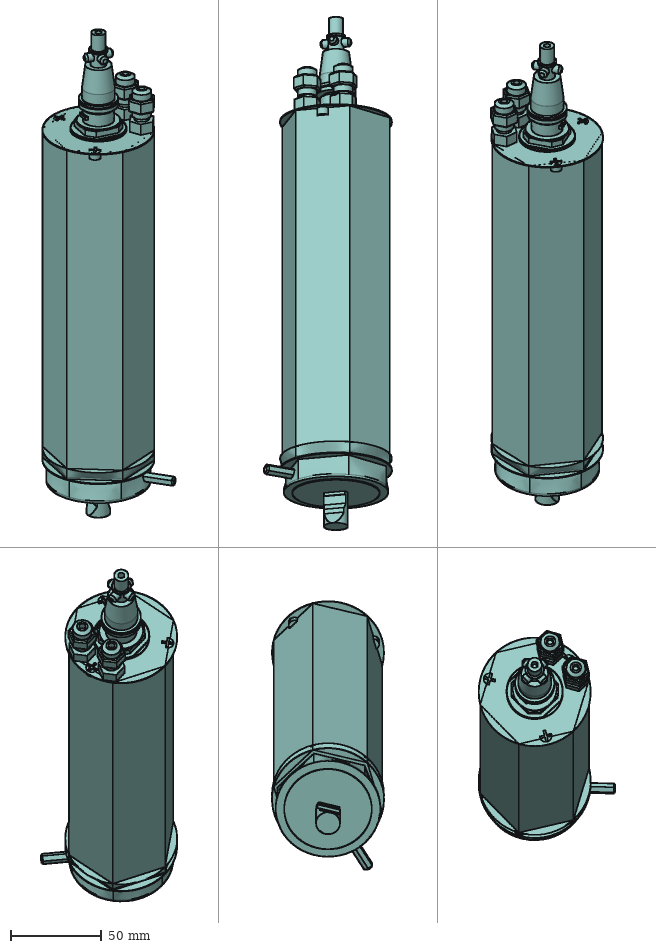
import cadquery as cq

CAP_BOTTOM = 19.8
CAP_STRAIGHT_TOP = 21.3
LIP_BOTTOM = 32.5
LIP_TOP = 33.0
COLLAR_BOTTOM = 34.3
COLLAR_TOP = 39.5
PLATE_BOTTOM = 235.5
PLATE_TOP = 236.0
TOTAL_HEIGHT = 295.7

HOUSING_RADIUS = 31.0
CAP_RADIUS = 29.0
END_RING_RADIUS = 24.2
END_RING_BOTTOM = 19.2

SPINDLE_DIAMETER = 13.3
SPINDLE_COLLAR_HALF = 3.0
SPINDLE_COLLAR_BOTTOM = 17.5
SPINDLE_NECK_HALF = 2.0
SPINDLE_NECK_BOTTOM = 12.5
SPINDLE_SHOULDER_HALF = 3.5
SPINDLE_SHOULDER_TOP = 9.5
SPINDLE_SHOULDER_BOTTOM = 6.8

STUB_ANGLE = 45
STUB_ROLL = 90
STUB_REACH = 44.7
STUB_DIAMETER = 6.0
STUB_LEVEL = 26.3
STUB_CHAMFER = 1.0

SCREW_COUNT = 3
SCREW_FIRST_ANGLE = 90
SCREW_CIRCLE_RADIUS = 26.0
SCREW_DIAMETER = 6.5
SCREW_BOTTOM = 231.2
SCREW_SLOT_WIDTH = 1.2
SCREW_SLOT_DEPTH = 0.5

FITTING_X = 10.3
FITTING_Y = 21.5
FITTING_TURN = 30
FITTING_BASE_HEX = 14.8
FITTING_BASE_TOP = 242.5
FITTING_NECK_DIAMETER = 8.3
FITTING_NECK_TOP = 244.5
FITTING_FLANGE_DIAMETER = 10.5
FITTING_FLANGE_TOP = 248.0
FITTING_NUT_HEX = 15.7
FITTING_NUT_TOP = 255.8
FITTING_CAP_DIAMETER = 10.5
FITTING_CAP_CHAMFER_HEIGHT = 1.5
FITTING_CAP_CHAMFER_WIDTH = 2.5
FITTING_TOP = 261.0
FITTING_BORE_DIAMETER = 3.5
FITTING_BORE_DEPTH = 4.5
NUT_CHAMFER = 1.0

SEAT_RING_DIAMETER = 31.3
SEAT_RING_TOP = 236.5
SEAT_STEP_DIAMETER = 30.8
SEAT_STEP_WIDTH = 27.8
SEAT_STEP_TOP = 237.5
SEAT_BLOCK_SIZE = 23.0
SEAT_BLOCK_CHAMFER = 4.7
SEAT_BLOCK_TOP = 241.0
SEAT_FLANGE_DIAMETER = 24.2
SEAT_FLANGE_TOP = 242.0

CONNECTOR_BODY_DIAMETER = 17.5
CONNECTOR_BODY_TOP = 249.3
CONNECTOR_GROOVE_DIAMETER = 13.3
CONNECTOR_GROOVE_TOP = 251.0
CONNECTOR_DISC_DIAMETER = 22.0
CONNECTOR_LOWER_DISC_TOP = 253.5
CONNECTOR_DISC_GAP_DIAMETER = 21.0
CONNECTOR_DISC_GAP_TOP = 254.0
CONNECTOR_DISC_TOP = 255.5
SLEEVE_DIAMETER = 18.3
SLEEVE_STRAIGHT_TOP = 262.0
SLEEVE_TOP_DIAMETER = 14.8
SLEEVE_TOP = 276.0
CABLE_NECK_DIAMETER = 9.0
CLAMP_COLLAR_DIAMETER = 10.3
CLAMP_COLLAR_BOTTOM = 284.5
CLAMP_COLLAR_TOP = 285.5
CABLE_DIAMETER = 8.0
CABLE_BORE_DIAMETER = 3.5
CABLE_BORE_DEPTH = 6.0

KEY_WIDTH = 7.0
KEY_REACH = 9.8
KEY_BOTTOM = 245.0
KEY_TOP = 247.0

KNOB_COUNT = 4
KNOB_REACH = 8.5
KNOB_DIAMETER = 5.0
KNOB_LEVEL = 281.5
KNOB_CHAMFER = 1.2


def cylinder(diameter, bottom, top):
    return cq.Workplane("XY").workplane(offset=bottom).circle(diameter / 2).extrude(top - bottom)


def hexagon(diameter, bottom, top, turn=0):
    """Hexagonal prism, given across its corners; without a turn two corners lie on X."""
    base = cq.Workplane("XY").workplane(offset=bottom)
    return base.polygon(6, diameter).extrude(top - bottom).rotate((0, 0, 0), (0, 0, 1), turn)


def hexagon_to_circle(diameter, hexagon_level, circle_level):
    """Transition from a hexagon to the circle through its corners."""
    start = cq.Workplane("XY").workplane(offset=hexagon_level).polygon(6, diameter)
    return start.workplane(offset=circle_level - hexagon_level).circle(diameter / 2).loft()


def make_housing():
    housing_diameter = 2 * HOUSING_RADIUS
    cap_diameter = 2 * CAP_RADIUS
    housing = hexagon(housing_diameter, LIP_BOTTOM, PLATE_BOTTOM)
    parts = [
        cylinder(housing_diameter, PLATE_BOTTOM, PLATE_TOP),
        hexagon_to_circle(housing_diameter, COLLAR_BOTTOM, COLLAR_TOP),
        cylinder(housing_diameter, LIP_BOTTOM, LIP_TOP),
        hexagon_to_circle(cap_diameter, LIP_BOTTOM, CAP_STRAIGHT_TOP),
        cylinder(cap_diameter, CAP_BOTTOM, CAP_STRAIGHT_TOP),
        cylinder(2 * END_RING_RADIUS, END_RING_BOTTOM, CAP_BOTTOM),
    ]
    for part in parts:
        housing = housing.union(part)
    return housing


def make_spindle():
    foot_half = SPINDLE_DIAMETER / 2
    half_profile = [
        (foot_half, 0),
        (SPINDLE_SHOULDER_HALF, SPINDLE_SHOULDER_BOTTOM),
        (SPINDLE_SHOULDER_HALF, SPINDLE_SHOULDER_TOP),
        (SPINDLE_NECK_HALF, SPINDLE_NECK_BOTTOM),
        (SPINDLE_NECK_HALF, SPINDLE_COLLAR_BOTTOM),
        (SPINDLE_COLLAR_HALF, SPINDLE_COLLAR_BOTTOM),
        (SPINDLE_COLLAR_HALF, CAP_STRAIGHT_TOP),
    ]
    mirrored = [(-y, z) for y, z in reversed(half_profile)]
    blade = cq.Workplane("YZ").polyline(half_profile + mirrored).close().extrude(foot_half, both=True)
    return blade.intersect(cylinder(SPINDLE_DIAMETER, 0, CAP_STRAIGHT_TOP))


def make_stub():
    stub = cq.Workplane("YZ").polygon(6, STUB_DIAMETER).extrude(STUB_REACH)
    stub = stub.rotate((0, 0, 0), (1, 0, 0), STUB_ROLL)
    stub = stub.faces(">X").chamfer(STUB_CHAMFER)
    return stub.rotate((0, 0, 0), (0, 0, 1), STUB_ANGLE).translate((0, 0, STUB_LEVEL))


def make_screw():
    screw = cylinder(SCREW_DIAMETER, SCREW_BOTTOM, PLATE_TOP)
    slots = cq.Workplane("XY").workplane(offset=PLATE_TOP - SCREW_SLOT_DEPTH)
    for angle in (0, 90):
        slot = slots.rect(SCREW_DIAMETER, SCREW_SLOT_WIDTH).extrude(SCREW_SLOT_DEPTH)
        screw = screw.cut(slot.rotate((0, 0, 0), (0, 0, 1), angle))
    return screw


def add_screws(body):
    screw = make_screw().translate((SCREW_CIRCLE_RADIUS, 0, 0))
    hole = cylinder(SCREW_DIAMETER, SCREW_BOTTOM, PLATE_TOP).translate((SCREW_CIRCLE_RADIUS, 0, 0))
    for index in range(SCREW_COUNT):
        angle = SCREW_FIRST_ANGLE + index * 360 / SCREW_COUNT
        body = body.cut(hole.rotate((0, 0, 0), (0, 0, 1), angle))
        body = body.union(screw.rotate((0, 0, 0), (0, 0, 1), angle))
    return body


def make_fitting():
    """Hose fitting on the Z axis; the corners of its hexagons lie on Y."""
    fitting = hexagon(FITTING_BASE_HEX, PLATE_TOP, FITTING_BASE_TOP, FITTING_TURN)
    fitting = fitting.union(cylinder(FITTING_NECK_DIAMETER, FITTING_BASE_TOP, FITTING_NECK_TOP))
    fitting = fitting.union(cylinder(FITTING_FLANGE_DIAMETER, FITTING_NECK_TOP, FITTING_FLANGE_TOP))
    nut = hexagon(FITTING_NUT_HEX, FITTING_FLANGE_TOP, FITTING_NUT_TOP, FITTING_TURN)
    fitting = fitting.union(nut.faces("<Z or >Z").chamfer(NUT_CHAMFER))
    cap = cylinder(FITTING_CAP_DIAMETER, FITTING_NUT_TOP, FITTING_TOP)
    cap = cap.faces(">Z").chamfer(FITTING_CAP_CHAMFER_HEIGHT, FITTING_CAP_CHAMFER_WIDTH)
    fitting = fitting.union(cap)
    return fitting.cut(cylinder(FITTING_BORE_DIAMETER, FITTING_TOP - FITTING_BORE_DEPTH, FITTING_TOP))


def make_seat():
    """Round ring, a step with two flats facing X, a chamfered square block and a thin flange."""
    block = cq.Workplane("XY").workplane(offset=PLATE_TOP).rect(SEAT_BLOCK_SIZE, SEAT_BLOCK_SIZE)
    block = block.extrude(SEAT_BLOCK_TOP - PLATE_TOP).edges("|Z").chamfer(SEAT_BLOCK_CHAMFER)
    step = cylinder(SEAT_STEP_DIAMETER, SEAT_RING_TOP, SEAT_STEP_TOP)
    flats = cq.Workplane("XY").box(SEAT_STEP_WIDTH, SEAT_STEP_DIAMETER, 2 * SEAT_STEP_TOP)
    seat = cylinder(SEAT_RING_DIAMETER, PLATE_TOP, SEAT_RING_TOP)
    seat = seat.union(step.intersect(flats)).union(block)
    return seat.union(cylinder(SEAT_FLANGE_DIAMETER, SEAT_BLOCK_TOP, SEAT_FLANGE_TOP))


def make_knob():
    knob = cq.Workplane("YZ").circle(KNOB_DIAMETER / 2).extrude(KNOB_REACH)
    return knob.faces(">X").chamfer(KNOB_CHAMFER).translate((0, 0, KNOB_LEVEL))


def make_connector():
    half_profile = [
        (0, SEAT_FLANGE_TOP),
        (CONNECTOR_BODY_DIAMETER / 2, SEAT_FLANGE_TOP),
        (CONNECTOR_BODY_DIAMETER / 2, CONNECTOR_BODY_TOP),
        (CONNECTOR_GROOVE_DIAMETER / 2, CONNECTOR_BODY_TOP),
        (CONNECTOR_GROOVE_DIAMETER / 2, CONNECTOR_GROOVE_TOP),
        (CONNECTOR_DISC_DIAMETER / 2, CONNECTOR_GROOVE_TOP),
        (CONNECTOR_DISC_DIAMETER / 2, CONNECTOR_LOWER_DISC_TOP),
        (CONNECTOR_DISC_GAP_DIAMETER / 2, CONNECTOR_LOWER_DISC_TOP),
        (CONNECTOR_DISC_GAP_DIAMETER / 2, CONNECTOR_DISC_GAP_TOP),
        (CONNECTOR_DISC_DIAMETER / 2, CONNECTOR_DISC_GAP_TOP),
        (CONNECTOR_DISC_DIAMETER / 2, CONNECTOR_DISC_TOP),
        (SLEEVE_DIAMETER / 2, CONNECTOR_DISC_TOP),
        (SLEEVE_DIAMETER / 2, SLEEVE_STRAIGHT_TOP),
        (SLEEVE_TOP_DIAMETER / 2, SLEEVE_TOP),
        (CABLE_NECK_DIAMETER / 2, SLEEVE_TOP),
        (CABLE_NECK_DIAMETER / 2, CLAMP_COLLAR_BOTTOM),
        (CLAMP_COLLAR_DIAMETER / 2, CLAMP_COLLAR_BOTTOM),
        (CLAMP_COLLAR_DIAMETER / 2, CLAMP_COLLAR_TOP),
        (CABLE_DIAMETER / 2, CLAMP_COLLAR_TOP),
        (CABLE_DIAMETER / 2, TOTAL_HEIGHT),
        (0, TOTAL_HEIGHT),
    ]
    connector = cq.Workplane("XZ").polyline(half_profile).close().revolve(360, (0, 0), (0, 1))
    key = cq.Workplane("XY").box(KEY_WIDTH, KEY_REACH, KEY_TOP - KEY_BOTTOM, centered=(True, False, False))
    connector = connector.union(key.translate((0, -KEY_REACH, KEY_BOTTOM)))
    knob = make_knob()
    for index in range(KNOB_COUNT):
        connector = connector.union(knob.rotate((0, 0, 0), (0, 0, 1), index * 360 / KNOB_COUNT))
    return connector.cut(cylinder(CABLE_BORE_DIAMETER, TOTAL_HEIGHT - CABLE_BORE_DEPTH, TOTAL_HEIGHT))


result = add_screws(make_housing())
result = result.union(make_spindle())
result = result.union(make_stub())
for side in (-1, 1):
    result = result.union(make_fitting().translate((side * FITTING_X, FITTING_Y, 0)))
result = result.union(make_seat())
result = result.union(make_connector())